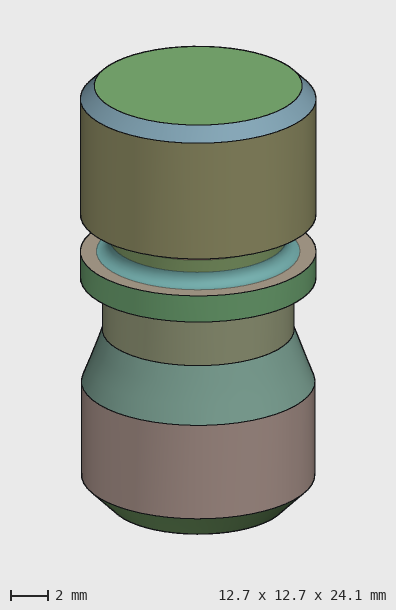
import cadquery as cq

head_diameter = 12.7
body_diameter = 12.57
neck_diameter = 10.33
groove_diameter = 9.5

total_height = 24.13
bottom_chamfer = 1.52
body_height = 5.43
taper_height = 3.02
neck_height = 3.02
flange_height = 1.52
groove_width = 2.15
groove_fillet = 0.72
top_chamfer = 0.75

head_radius = head_diameter / 2
body_radius = body_diameter / 2
neck_radius = neck_diameter / 2
groove_radius = groove_diameter / 2
fillet_outer_radius = groove_radius + groove_fillet

body_bottom = bottom_chamfer
body_top = body_bottom + body_height
neck_bottom = body_top + taper_height
flange_bottom = neck_bottom + neck_height
flange_top = flange_bottom + flange_height
head_bottom = flange_top + groove_width

profile = (
    cq.Workplane("XZ")
    .lineTo(body_radius - bottom_chamfer, 0)
    .lineTo(body_radius, body_bottom)
    .lineTo(body_radius, body_top)
    .lineTo(neck_radius, neck_bottom)
    .lineTo(neck_radius, flange_bottom)
    .lineTo(head_radius, flange_bottom)
    .lineTo(head_radius, flange_top)
    .lineTo(fillet_outer_radius, flange_top)
    .radiusArc((groove_radius, flange_top + groove_fillet), groove_fillet)
    .lineTo(groove_radius, head_bottom - groove_fillet)
    .radiusArc((fillet_outer_radius, head_bottom), groove_fillet)
    .lineTo(head_radius, head_bottom)
    .lineTo(head_radius, total_height - top_chamfer)
    .lineTo(head_radius - top_chamfer, total_height)
    .lineTo(0, total_height)
    .close()
)

result = profile.revolve(360, (0, 0, 0), (0, 1, 0))